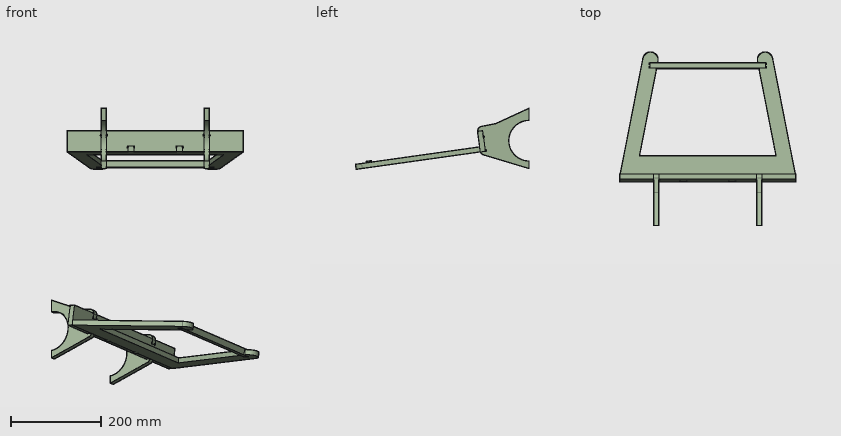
import cadquery as cq
import math


tilt = 8.0
sheet = 11.7
relief_radius = 2.0
board_edge_y = 97.0
board_edge_z = -23.5

board_length = 391.0
board_height = 46.0

arm_taper = 11.0
arm_width = 34.5
frame_reach = 290.0
opening_start = 57.5
tab_spacing = 108.0
tab_width = 12.5

bar_length = 257.0
bar_height = 15.0
bar_centre_v = 259.5

bracket_spacing = 228.5
cradle_radius = 45.0
upper_horn = 27.5
lower_horn = 17.2
bend_y = 74.0
bend_z = 38.5
bracket_above_board = 9.5
bracket_below_board = 4.5
bracket_corner_radius = 11.7

lap_depth = sheet
lap_w = board_height - lap_depth
arm_radius = arm_width / 2
taper_rad = math.radians(arm_taper)
tilt_rad = math.radians(tilt)
bracket_sides = [-bracket_spacing / 2, bracket_spacing / 2]
tab_sides = [-tab_spacing / 2, tab_spacing / 2]

tilted_origin = cq.Vector(0, board_edge_y, board_edge_z)
v_direction = cq.Vector(0, math.cos(tilt_rad), -math.sin(tilt_rad))
w_direction = cq.Vector(0, math.sin(tilt_rad), math.cos(tilt_rad))
tilted_frame = cq.Plane(origin=tilted_origin, xDir=(1, 0, 0), normal=w_direction)


def place(body):
    """Move a body drawn in U, V, W into its tilted position."""
    return cq.Workplane(obj=body.solids().val().moved(cq.Location(tilted_frame)))


def block(u_range, v_range, w_range):
    """Box between two limits in each direction of the tilted frame."""
    (u0, u1), (v0, v1), (w0, w1) = u_range, v_range, w_range
    return cq.Workplane("XY").box(u1 - u0, v1 - v0, w1 - w0, centered=False).translate((u0, v0, w0))


def around(centre, width):
    """Limits of a width centred on a position."""
    return (centre - width / 2, centre + width / 2)


def relief_along_v(u, w):
    """Corner relief through the thickness of the cross board."""
    axis_start = cq.Vector(u, 0, w)
    return cq.Workplane(obj=cq.Solid.makeCylinder(relief_radius, sheet, axis_start, cq.Vector(0, 1, 0)))


def relief_along_w(u, v):
    """Corner relief through the thickness of the frame plate."""
    axis_start = cq.Vector(u, v, 0)
    return cq.Workplane(obj=cq.Solid.makeCylinder(relief_radius, sheet, axis_start, cq.Vector(0, 0, 1)))


def relief_along_u(u_start, v, w):
    """Corner relief through the thickness of a bracket."""
    axis_start = cq.Vector(u_start, v, w)
    return cq.Workplane(obj=cq.Solid.makeCylinder(relief_radius, sheet, axis_start, cq.Vector(1, 0, 0)))


def make_cross_board():
    """Upright board with top slots for the brackets and bottom slots for the frame tabs."""
    board = block(around(0, board_length), (0, sheet), (0, board_height))
    for side in bracket_sides:
        slot = around(side, sheet)
        board = board.cut(block(slot, (0, sheet), (lap_w, board_height)))
        for u in slot:
            board = board.cut(relief_along_v(u, lap_w + relief_radius))
    for side in tab_sides:
        slot = around(side, tab_width)
        board = board.cut(block(slot, (0, sheet), (0, sheet)))
        for u in slot:
            board = board.cut(relief_along_v(u, sheet - relief_radius))
    return place(board)


def outer_edge_u(v):
    """Half width of the frame plate at a distance along it."""
    return board_length / 2 - (v - sheet) * math.tan(taper_rad)


def make_frame_plate():
    """U-shaped plate with inward-leaning round-ended arms, tabs and slots for the crossbar."""
    end_v = frame_reach - arm_radius
    end_u = outer_edge_u(end_v) - arm_radius / math.cos(taper_rad)
    across_u = arm_radius * math.cos(taper_rad)
    across_v = arm_radius * math.sin(taper_rad)
    tip_u = end_u - across_v
    tip_v = end_v + arm_radius * math.cos(taper_rad)
    opening_u = outer_edge_u(opening_start) - arm_width / math.cos(taper_rad)
    outline = (
        cq.Workplane("XY")
        .moveTo(-board_length / 2, sheet)
        .lineTo(board_length / 2, sheet)
        .lineTo(end_u + across_u, end_v + across_v)
        .threePointArc((tip_u, tip_v), (end_u - across_u, end_v - across_v))
        .lineTo(opening_u, opening_start)
        .lineTo(-opening_u, opening_start)
        .lineTo(-end_u + across_u, end_v - across_v)
        .threePointArc((-tip_u, tip_v), (-end_u - across_u, end_v + across_v))
        .close()
    )
    plate = outline.extrude(sheet)
    for side in tab_sides:
        plate = plate.union(block(around(side, tab_width), (0, sheet), (0, sheet)))

    slot = around(bar_centre_v, sheet)
    slot_ends = around(0, bar_length)
    plate = plate.cut(block(slot_ends, slot, (0, sheet)))
    slot_front, slot_back = slot
    for u in slot_ends:
        plate = plate.cut(relief_along_w(u, slot_front + relief_radius))
        plate = plate.cut(relief_along_w(u, slot_back - relief_radius))
    return place(plate)


def make_crossbar():
    """Bar joining the two arms, flush underneath and standing proud on top."""
    return place(block(around(0, bar_length), around(bar_centre_v, sheet), (0, bar_height)))


def back_corner(w):
    """Y and Z of a point on the line of the board's back face."""
    point = tilted_origin + v_direction * sheet + w_direction * w
    return (point.y, point.z)


def make_bracket(side):
    """Cradle bracket lapped into the cross board, with its back flush with the board."""
    u_start = side - sheet / 2
    top_corner = back_corner(board_height + bracket_above_board)
    bottom_corner = back_corner(-bracket_below_board)
    outline = [
        (0, cradle_radius + upper_horn),
        (bend_y, bend_z),
        top_corner,
        bottom_corner,
        (0, -cradle_radius - lower_horn),
    ]
    bracket = cq.Workplane("YZ", origin=(u_start, 0, 0)).polyline(outline).close().extrude(sheet)
    for y, z in (top_corner, bottom_corner):
        corner_edge = cq.selectors.NearestToPointSelector((side, y, z))
        bracket = bracket.edges(corner_edge).fillet(bracket_corner_radius)

    cradle = cq.Workplane("YZ", origin=(u_start, 0, 0)).circle(cradle_radius).extrude(sheet)
    bracket = bracket.cut(cradle)

    notch = block(around(side, sheet), (0, sheet), (0, lap_w))
    bracket = bracket.cut(place(notch))
    for w in (relief_radius, lap_w - relief_radius):
        bracket = bracket.cut(place(relief_along_u(u_start, 0, w)))
    return bracket.solids()


cross_board = make_cross_board()
frame_plate = make_frame_plate()
crossbar = make_crossbar()
brackets = [make_bracket(side) for side in bracket_sides]

result = cq.Compound.makeCompound([
    cross_board.val(),
    frame_plate.val(),
    crossbar.val(),
    *[bracket.val() for bracket in brackets],
])